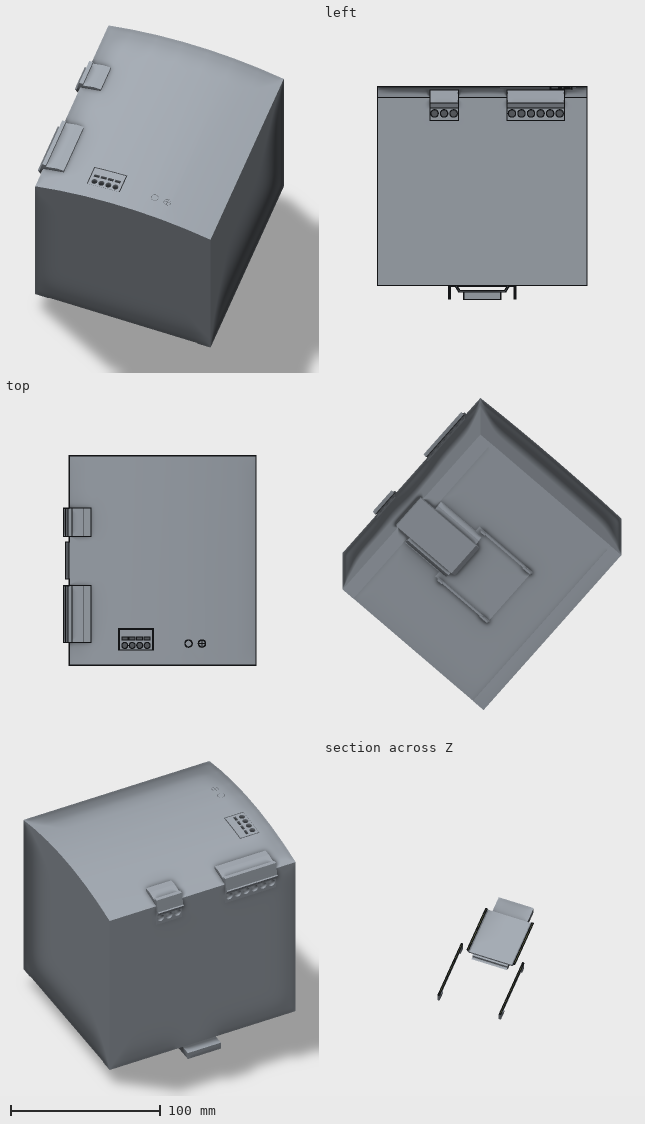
import cadquery as cq


overall_height = 142.5
width = 125.0
depth = 140.0
wall_height = 125.5
crown_height = 133.0
foot_length = 9.5
foot_height = 0.64

six_pole_block_width = 38.2
terminal_pitch = six_pole_block_width / 6
terminal_hole_diameter = 5.0
terminal_hole_depth = 7.1
terminal_hole_z = 115.0
terminal_plate_thickness = 0.64
terminal_plate_bottom = 110.3
cover_top = 130.6
cover_ridge_start = -0.64
cover_ridge_end = 2.0
cover_ramp_foot = 128.8
cover_ramp_end = 9.5
cover_end = 14.7
flap_back = -2.5
flap_nib = (-3.8, 122.0)
flap_lip = (-1.9, 118.7)
terminal_blocks = [(25.5, 3), (-35.8, 6)]

connector_left = 32.9
connector_width = 23.5
connector_front = -59.8
connector_depth = 14.5
connector_gap = 0.64
connector_front_gap = 0.1
connector_gap_floor = 129.4
connector_poles = 4
connector_pitch = 5.0
wire_hole_diameter = 4.0
wire_hole_y = -56.7
release_slot_width = 4.0
release_slot_height = 2.0
release_slot_y = -52.0
contact_depth = 5.7

round_opening_diameter = 5.0
round_part_diameter = 4.5
lamp_x = 79.8
trimmer_x = 88.8
round_parts_y = -55.4
ring_depth = 0.9
screw_slot_width = 0.3

sheet = 1.3
bracket_half_width = 22.5
bracket_end = 87.5
bracket_wide_start = 40.6
tongue_start = 10.1
tongue_half_width = 18.5
base_bottom = foot_height - sheet
cheek_start = 42.5
cheek_leg_end = 46.3
cheek_bottom = -8.8
cheek_corner_radius = 1.9
rail_face = -5.1
hook_tip = 79.9
hook_top = -7.0
undercut_start = 81.5
undercut_peak = (82.8, -3.8)
undercut_back = (83.8, -4.8)

slider_start = -2.5
slider_end = 46.3
slider_width = 25.0
slider_top = -4.4
slider_bottom = crown_height - overall_height
catch_tip = 49.5
catch_root = 47.6
catch_top = -6.3
hat_half_width_bottom = 15.5
hat_half_width_top = 18.0


def side_profile(points, y_center, thickness):
    """Extrude a closed XZ outline along Y, centred on y_center."""
    outline = cq.Workplane("XZ", origin=(0, y_center, 0)).polyline(points).close()
    return outline.extrude(thickness / 2, both=True)


def box(x_range, y_range, z_range):
    """Box between the given limits."""
    x_size = x_range[1] - x_range[0]
    y_size = y_range[1] - y_range[0]
    z_size = z_range[1] - z_range[0]
    return (
        cq.Workplane("XY")
        .box(x_size, y_size, z_size, centered=False)
        .translate((x_range[0], y_range[0], z_range[0]))
    )


def crown_z(x):
    """Height of the arched crown at x."""
    rise = crown_height - wall_height
    radius = ((width / 2) ** 2 + rise**2) / (2 * rise)
    return crown_height - radius + (radius**2 - (x - width / 2) ** 2) ** 0.5


def make_housing():
    """Box with an arched crown and a shallow recess between two feet."""
    return (
        cq.Workplane("XZ")
        .moveTo(0, 0)
        .lineTo(0, wall_height)
        .threePointArc((width / 2, crown_height), (width, wall_height))
        .lineTo(width, 0)
        .lineTo(width - foot_length, 0)
        .lineTo(width - foot_length, foot_height)
        .lineTo(foot_length, foot_height)
        .lineTo(foot_length, 0)
        .close()
        .extrude(depth / 2, both=True)
    )


def make_terminal_block(y_center, poles):
    """Cover with a slanted flap over the wall edge, above a thin plate on the wall."""
    block_width = poles * terminal_pitch
    cover = [
        (cover_ridge_start, cover_top),
        (cover_ridge_end, cover_top),
        (cover_ridge_end, cover_ramp_foot),
        (cover_ramp_end, cover_top),
        (cover_end, cover_top),
        (cover_end, wall_height),
        (0, wall_height),
        flap_lip,
        flap_nib,
        (flap_back, flap_nib[1]),
    ]
    plate = box(
        (-terminal_plate_thickness, 0),
        (y_center - block_width / 2, y_center + block_width / 2),
        (terminal_plate_bottom, wall_height),
    )
    return side_profile(cover, y_center, block_width).union(plate)


def make_terminal_holes(y_center, poles):
    """Row of wire holes through the plate into the wall."""
    return (
        cq.Workplane("YZ", origin=(-terminal_plate_thickness, y_center, terminal_hole_z))
        .rarray(terminal_pitch, 1.4, poles, 1)
        .circle(terminal_hole_diameter / 2)
        .extrude(terminal_hole_depth)
    )


def make_connector_cuts():
    """Gap around the connector, narrower in front, with its wire holes and release slots."""
    right = connector_left + connector_width
    back = connector_front + connector_depth
    gap_z = (connector_gap_floor, crown_height)
    opening = box((connector_left, right), (connector_front, back), gap_z)
    body = box(
        (connector_left + connector_gap, right - connector_gap),
        (connector_front + connector_front_gap, back - connector_gap),
        gap_z,
    )
    center_x = connector_left + connector_width / 2
    floor = crown_z(center_x) - contact_depth
    wire_holes = (
        cq.Workplane("XY", origin=(center_x, wire_hole_y, floor))
        .rarray(connector_pitch, 1.4, connector_poles, 1)
        .circle(wire_hole_diameter / 2)
        .extrude(crown_height - floor)
    )
    release_slots = (
        cq.Workplane("XY", origin=(center_x, release_slot_y, floor))
        .rarray(connector_pitch, 1.4, connector_poles, 1)
        .rect(release_slot_width, release_slot_height)
        .extrude(crown_height - floor)
    )
    return opening.cut(body).union(wire_holes).union(release_slots)


def make_ring_gap(x):
    """Narrow ring-shaped gap around a round part set flush in the crown."""
    floor = crown_z(x) - ring_depth
    return (
        cq.Workplane("XY", origin=(x, round_parts_y, floor))
        .circle(round_opening_diameter / 2)
        .circle(round_part_diameter / 2)
        .extrude(crown_height - floor)
    )


def make_screw_cross():
    """Crossed screwdriver slots in the trimmer."""
    floor = crown_z(trimmer_x) - ring_depth
    plane = cq.Workplane("XY", origin=(trimmer_x, round_parts_y, floor))
    slot_height = crown_height - floor
    slot_x = plane.rect(round_part_diameter, screw_slot_width).extrude(slot_height)
    slot_y = plane.rect(screw_slot_width, round_part_diameter).extrude(slot_height)
    return slot_x.union(slot_y)


def make_cheek(y_center):
    """Side cheek of the bracket, with a leg and an undercut hook for the rail."""
    outline = [
        (cheek_start, foot_height),
        (bracket_end, foot_height),
        (bracket_end, cheek_bottom),
        (hook_tip, cheek_bottom),
        (hook_tip, hook_top),
        (undercut_start, hook_top),
        undercut_back,
        undercut_peak,
        (undercut_start, rail_face),
        (cheek_leg_end, rail_face),
        (cheek_leg_end, cheek_bottom),
        (cheek_start, cheek_bottom),
    ]
    cheek = side_profile(outline, y_center, sheet)
    hook_corner = cq.selectors.NearestToPointSelector((bracket_end, y_center, cheek_bottom))
    return cheek.edges(hook_corner).fillet(cheek_corner_radius)


def make_bracket():
    """Base sheet with a narrower tongue, and a cheek on either side."""
    base_z = (base_bottom, foot_height)
    tongue = box((tongue_start, bracket_wide_start), (-tongue_half_width, tongue_half_width), base_z)
    base = box((bracket_wide_start, bracket_end), (-bracket_half_width, bracket_half_width), base_z)
    bracket = tongue.union(base)
    for side in (-1, 1):
        bracket = bracket.union(make_cheek(side * (bracket_half_width - sheet / 2)))
    return bracket


def make_hat_strip():
    """Hat-shaped guide strip hanging below the base sheet."""
    right_half = [
        (hat_half_width_bottom, slider_top),
        (hat_half_width_top, base_bottom),
        (hat_half_width_top - sheet, base_bottom),
        (hat_half_width_bottom - sheet / 2, slider_top + sheet),
    ]
    left_half = [(-y, z) for y, z in reversed(right_half)]
    return (
        cq.Workplane("YZ", origin=(tongue_start, 0, 0))
        .polyline(right_half + left_half)
        .close()
        .extrude(slider_end - tongue_start)
    )


def make_slider():
    """Release slider with a wedge-shaped catch at its inner end."""
    outline = [
        (slider_start, slider_top),
        (catch_root, slider_top),
        (catch_root, catch_top),
        (catch_tip, catch_top),
        (slider_end, slider_bottom),
        (slider_start, slider_bottom),
    ]
    return side_profile(outline, 0, slider_width)


result = make_housing()
for block_y, pole_count in terminal_blocks:
    result = result.union(make_terminal_block(block_y, pole_count))
    result = result.cut(make_terminal_holes(block_y, pole_count))
result = result.cut(make_connector_cuts())
result = result.cut(make_ring_gap(lamp_x))
result = result.cut(make_ring_gap(trimmer_x))
result = result.cut(make_screw_cross())
result = result.union(make_bracket()).union(make_hat_strip()).union(make_slider())